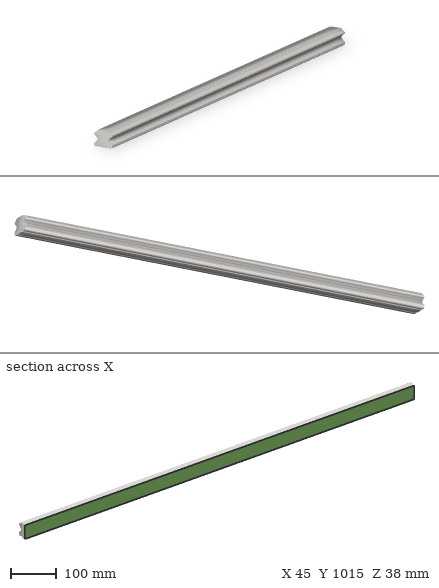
import math

import cadquery as cq

rail_width = 45.0
rail_length = 1015.0
rail_height = 38.0

head_bevel = 8.3
head_side_height = 3.3

upper_land_above = 1.75
upper_land_below = 4.55
upper_groove_depth = 1.1
lower_land_above = 2.0
lower_land_below = 2.05
lower_groove_depth = 0.6

neck_width = 29.0
neck_top = 19.45
neck_bottom = 15.5
foot_side_top = 7.55
base_chamfer_width = 1.85
base_chamfer_height = 1.5

relief_spacing = 23.2
relief_width = 6.0
relief_depth = 1.9

half_width = rail_width / 2
half_neck = neck_width / 2
head_side_top = rail_height - head_bevel
head_side_bottom = head_side_top - head_side_height
relief_centre = relief_spacing / 2
relief_outer = relief_centre + relief_width / 2
relief_inner = relief_centre - relief_width / 2


def point_along(start, end, distance):
    """Point at a distance from start towards end."""
    fraction = distance / math.dist(start, end)
    return (
        start[0] + (end[0] - start[0]) * fraction,
        start[1] + (end[1] - start[1]) * fraction,
    )


def grooved_flank(outline, start, end, land_above, land_below, depth):
    """Continue the outline from start down to end, with an arc groove between two flat lands."""
    groove_start = point_along(start, end, land_above)
    groove_end = point_along(end, start, land_below)
    chord = math.dist(groove_start, groove_end)
    inward_x = (groove_end[1] - groove_start[1]) / chord
    inward_z = (groove_start[0] - groove_end[0]) / chord
    groove_bottom = (
        (groove_start[0] + groove_end[0]) / 2 + inward_x * depth,
        (groove_start[1] + groove_end[1]) / 2 + inward_z * depth,
    )
    return outline.lineTo(*groove_start).threePointArc(groove_bottom, groove_end).lineTo(*end)


def half_section():
    """Closed outline of the +X half of the rail section, at the +Y end."""
    top_corner = (half_width - head_bevel, rail_height)
    side_top = (half_width, head_side_top)
    side_bottom = (half_width, head_side_bottom)
    neck_corner = (half_neck, neck_top)

    outline = cq.Workplane("XZ", origin=(0, rail_length / 2, 0))
    outline = outline.moveTo(0, rail_height).lineTo(*top_corner)
    outline = grooved_flank(
        outline, top_corner, side_top, upper_land_above, upper_land_below, upper_groove_depth
    )
    outline = outline.lineTo(*side_bottom)
    outline = grooved_flank(
        outline, side_bottom, neck_corner, lower_land_above, lower_land_below, lower_groove_depth
    )
    return (
        outline.lineTo(half_neck, neck_bottom)
        .lineTo(half_width, foot_side_top)
        .lineTo(half_width, base_chamfer_height)
        .lineTo(half_width - base_chamfer_width, 0)
        .lineTo(relief_outer, 0)
        .threePointArc((relief_centre, relief_depth), (relief_inner, 0))
        .lineTo(0, 0)
        .close()
    )


half_rail = half_section().extrude(rail_length)
result = half_rail.union(half_rail.mirror("YZ")).clean()